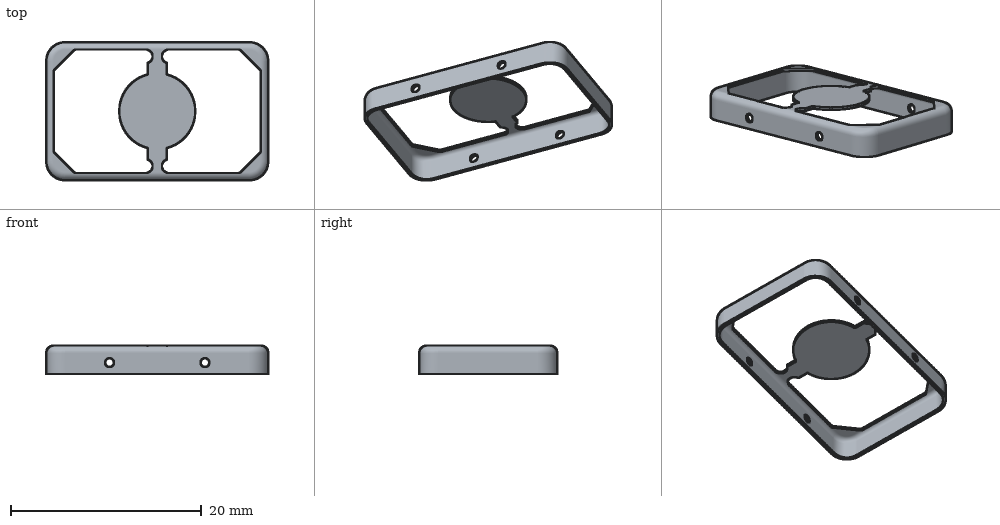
import cadquery as cq
length = 23.3
width = 14.5
height = 3.0
corner_radius = 2.0
edge_round = 0.8

shell_thickness = 0.3

rim_width = 0.8
gusset_leg = 2.2
window_corner_radius = 0.25

disc_diameter = 8.0
tab_width = 2.0
neck_width = 1.0
notch_radius = 0.7

hole_diameter = 0.9
hole_spacing = 10.0
hole_height = 1.2

cavity_height = height - shell_thickness
window_length = length - 2 * rim_width
window_width = width - 2 * rim_width
notch_x = neck_width / 2 + notch_radius
notch_y = window_width / 2 - notch_radius


def rounded_block(inset, block_height):
    """Block inset from the outer walls, with rounded corners and a rounded top edge."""
    return (
        cq.Workplane("XY")
        .box(
            length - 2 * inset,
            width - 2 * inset,
            block_height,
            centered=(True, True, False),
        )
        .edges("|Z")
        .fillet(corner_radius - inset)
        .faces(">Z")
        .edges()
        .fillet(edge_round - inset)
    )


def make_shell():
    """Open-bottomed box of even thickness."""
    return rounded_block(0, height).cut(rounded_block(shell_thickness, cavity_height))


def make_bridge():
    """Centre disc with its two notched tabs."""
    sheet = cq.Workplane("XY").workplane(offset=cavity_height)
    disc = sheet.circle(disc_diameter / 2).extrude(shell_thickness)
    tabs = sheet.rect(tab_width, window_width).extrude(shell_thickness)
    notch_centres = [(sx * notch_x, sy * notch_y) for sx in (-1, 1) for sy in (-1, 1)]
    notches = sheet.pushPoints(notch_centres).circle(notch_radius).extrude(shell_thickness)
    return disc.union(tabs.cut(notches))


def make_window():
    """Window in the top sheet: corners cut off by gussets, bridge left standing."""
    window = (
        cq.Workplane("XY")
        .workplane(offset=cavity_height)
        .rect(window_length, window_width)
        .extrude(shell_thickness)
        .edges("|Z")
        .chamfer(gusset_leg)
        .edges("|Z")
        .fillet(window_corner_radius)
    )
    return window.cut(make_bridge())


def make_cross_holes():
    """Round holes running along Y through both long walls."""
    return (
        cq.Workplane("XZ")
        .pushPoints([(-hole_spacing / 2, hole_height), (hole_spacing / 2, hole_height)])
        .circle(hole_diameter / 2)
        .extrude(width / 2, both=True)
    )


result = make_shell().cut(make_window()).cut(make_cross_holes())